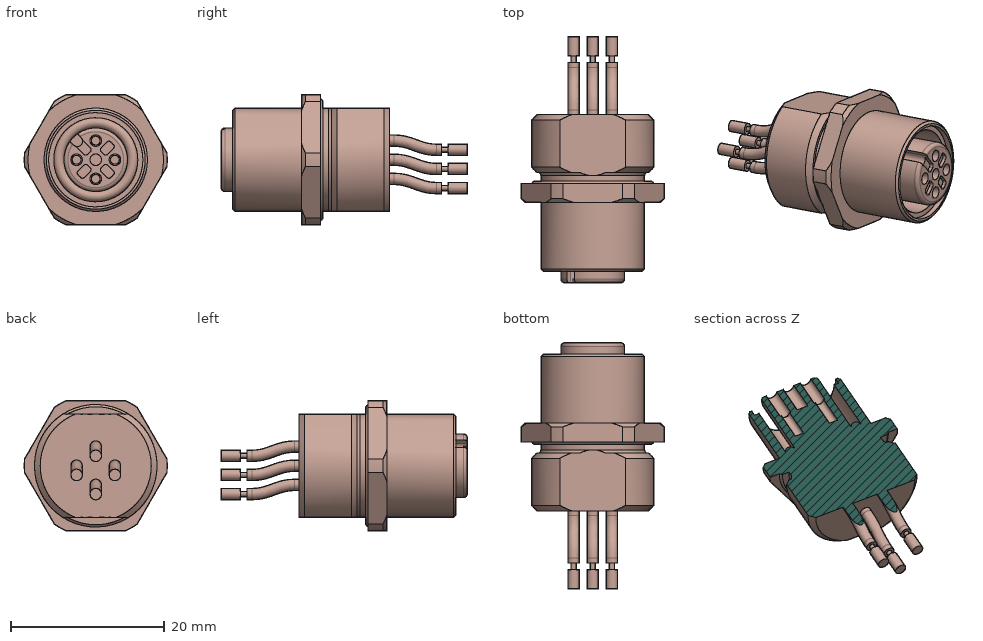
import cadquery as cq
import math


insert_diameter = 8.3
insert_edge_radius = 0.5

shell_diameter = 13.5
shell_front_y = 1.5
shell_chamfer = 0.3
mouth_diameter = 12.3
mouth_depth = 0.8
cavity_diameter = 10.98
cavity_floor_y = 10.0

seal_section_radius = (cavity_diameter - insert_diameter) / 4
seal_ring_radius = insert_diameter / 2 + seal_section_radius

hex_across_flats = 17.0
hex_corner_diameter = 18.69
flange_front_y = 10.5
flange_back_y = 13.0
flange_chamfer = 0.5
collar_diameter = 16.0
collar_chamfer = 0.3
collar_back_y = flange_back_y + collar_chamfer

nut_diameter = 16.0
nut_across_flats = 13.5
nut_front_y = 14.4
nut_back_y = 22.0
nut_front_chamfer = 0.7
nut_back_chamfer = 0.75
nut_lip_diameter = 13.9
nut_lip_front_y = 14.0

contact_offset = 2.5
contact_diameter = 1.5
contact_bore_diameter = 1.15
contact_depth = 4.0
contact_bore_depth = 8.0
contact_positions = [
    (contact_offset, 0),
    (0, contact_offset),
    (-contact_offset, 0),
    (0, -contact_offset),
]

key_offset = 2.42
key_width = 1.4
key_depth = 8.5
key_angle = 135
key_radius = math.hypot(key_offset, key_offset)
plain_recess_angles = (45, 225, 315)
recess_width = 1.2
recess_inner_radius = 1.25
recess_outer_radius = 3.03
recess_corner_radius = 0.35
recess_depth = 0.5

lead_diameter = 1.5
strand_diameter = 0.7
lead_drop = 1.2
bend_start_y = 22.6
bend_end_y = 28.1
strand_start_y = 28.8
strand_end_y = 29.65
lead_end_y = 32.15


def xz_plane(y):
    """Sketch plane at the given Y, with local x = X, local y = Z and normal -Y."""
    return cq.Plane(origin=(0, y, 0), xDir=(1, 0, 0), normal=(0, -1, 0))


def xz_circle(diameter, y, x=0, z=0):
    """Circle sketched at one station along Y."""
    return cq.Workplane(xz_plane(y)).center(x, z).circle(diameter / 2)


def rod(diameter, y_start, y_end, x=0, z=0):
    """Cylinder along Y between two stations."""
    return xz_circle(diameter, y_start, x, z).extrude(y_start - y_end)


def turned(profile):
    """Solid of revolution about Y from (radius, y) points."""
    return cq.Workplane("XY").polyline(profile).close().revolve(360, (0, 0), (0, 1))


def make_shell():
    outer = rod(shell_diameter, shell_front_y, nut_front_y)
    outer = outer.faces("<Y").chamfer(shell_chamfer)
    mouth = rod(mouth_diameter, shell_front_y, shell_front_y + mouth_depth)
    cavity = rod(cavity_diameter, shell_front_y, cavity_floor_y)
    return outer.cut(mouth).cut(cavity)


def make_insert():
    insert = rod(insert_diameter, 0, nut_front_y)
    return insert.faces("<Y").edges().fillet(insert_edge_radius)


def make_seal():
    return (
        cq.Workplane("XY")
        .center(seal_ring_radius, cavity_floor_y)
        .circle(seal_section_radius)
        .revolve(360, (-seal_ring_radius, 0), (-seal_ring_radius, 1))
    )


def make_flange():
    hexagon = (
        cq.Workplane(xz_plane(flange_front_y))
        .polygon(6, hex_across_flats / math.cos(math.pi / 6))
        .extrude(flange_front_y - flange_back_y)
    )
    corner_radius = hex_corner_diameter / 2
    corner_limit = turned([
        (0, flange_front_y),
        (corner_radius - flange_chamfer, flange_front_y),
        (corner_radius, flange_front_y + flange_chamfer),
        (corner_radius, flange_back_y),
        (0, flange_back_y),
    ])
    collar = rod(collar_diameter, flange_back_y - collar_chamfer, collar_back_y)
    collar = collar.faces(">Y").chamfer(collar_chamfer)
    return hexagon.intersect(corner_limit).union(collar)


def make_nut():
    radius = nut_diameter / 2
    body = turned([
        (0, nut_lip_front_y),
        (nut_across_flats / 2, nut_lip_front_y),
        (nut_lip_diameter / 2, nut_front_y),
        (radius - nut_front_chamfer, nut_front_y),
        (radius, nut_front_y + nut_front_chamfer),
        (radius, nut_back_y - nut_back_chamfer),
        (radius - nut_back_chamfer, nut_back_y),
        (0, nut_back_y),
    ])
    between_flats = cq.Workplane("XY").box(
        nut_diameter, 2 * nut_back_y, nut_across_flats
    )
    return body.intersect(between_flats)


def make_lead(x, z):
    """Lead that steps down in Z, then a bare strand and a leftover sleeve."""
    z_end = z - lead_drop
    bend_path = (
        cq.Workplane(cq.Plane(origin=(x, 0, 0), xDir=(0, 1, 0), normal=(1, 0, 0)))
        .moveTo(bend_start_y, z)
        .spline(
            [(bend_end_y, z_end)],
            tangents=[(1, 0), (1, 0)],
            includeCurrent=True,
        )
    )
    bend = xz_circle(lead_diameter, bend_start_y, x, z).sweep(bend_path)
    root = rod(lead_diameter, nut_back_y - nut_back_chamfer, bend_start_y, x, z)
    sleeve = rod(lead_diameter, bend_end_y, strand_start_y, x, z_end)
    strand = rod(strand_diameter, strand_start_y, strand_end_y, x, z_end)
    end_sleeve = rod(lead_diameter, strand_end_y, lead_end_y, x, z_end)
    return root.union(bend).union(sleeve).union(strand).union(end_sleeve)


def cut_contact_holes(body):
    """Plain centre hole and four stepped holes around it."""
    body = body.cut(rod(contact_diameter, 0, contact_depth))
    for x, z in contact_positions:
        body = body.cut(rod(contact_diameter, 0, contact_depth, x, z))
        body = body.cut(rod(contact_bore_diameter, 0, contact_bore_depth, x, z))
    return body


def make_recess(angle, outer_radius):
    """Round-cornered recess running outwards at an angle about the Y axis."""
    length = outer_radius - recess_inner_radius
    middle = (outer_radius + recess_inner_radius) / 2
    return (
        cq.Workplane("XY")
        .box(length, 2 * recess_depth, recess_width)
        .edges("|Y")
        .fillet(recess_corner_radius)
        .translate((middle, 0, 0))
        .rotate((0, 0, 0), (0, 1, 0), -angle)
    )


def make_key_groove():
    """Groove with a round bottom and parallel walls, open to the insert's side."""
    length = cavity_diameter / 2 - key_radius
    walls = (
        cq.Workplane("XY")
        .box(length, key_depth, key_width, centered=(False, False, True))
        .translate((key_radius, 0, 0))
        .rotate((0, 0, 0), (0, 1, 0), -key_angle)
    )
    return walls.union(rod(key_width, 0, key_depth, -key_offset, key_offset))


def cut_recesses(insert):
    for angle in plain_recess_angles:
        insert = insert.cut(make_recess(angle, recess_outer_radius))
    return insert.cut(make_recess(key_angle, key_radius))


insert = cut_recesses(make_insert()).cut(make_key_groove())
result = make_shell().union(make_seal()).union(insert)
result = result.union(make_flange()).union(make_nut())
result = cut_contact_holes(result)
for lead_x, lead_z in contact_positions:
    result = result.union(make_lead(lead_x, lead_z))